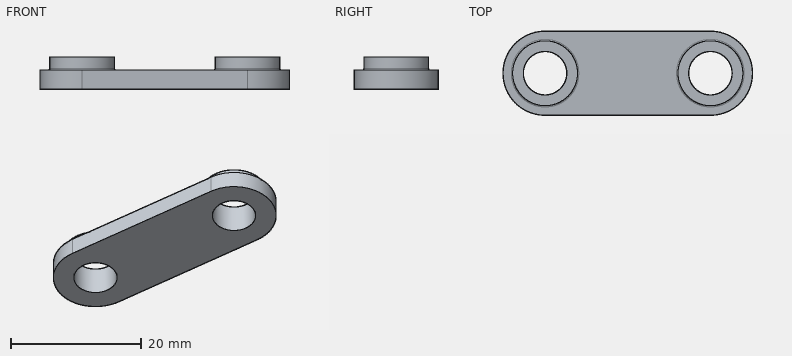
import cadquery as cq

length = 38.42
width = 13.0
plate_thickness = 3.0
total_height = 5.0
boss_diameter = 10.0
boss_base_fillet = 0.2
bore_diameter = 6.65

boss_spacing = length - width
boss_centers = [(-boss_spacing / 2, 0), (boss_spacing / 2, 0)]


def disks(diameter):
    """Make one upright full-height cylinder at each boss centre."""
    return cq.Workplane("XY").pushPoints(boss_centers).circle(diameter / 2).extrude(total_height)


plate = cq.Workplane("XY").slot2D(length, width).extrude(plate_thickness)

body = plate.union(disks(boss_diameter))
plate_top = body.faces(cq.selectors.NearestToPointSelector((0, 0, plate_thickness)))
boss_base_edges = plate_top.edges("%CIRCLE").filter(lambda edge: edge.radius() < width / 2 - boss_base_fillet)
body = boss_base_edges.fillet(boss_base_fillet)

result = body.cut(disks(bore_diameter))